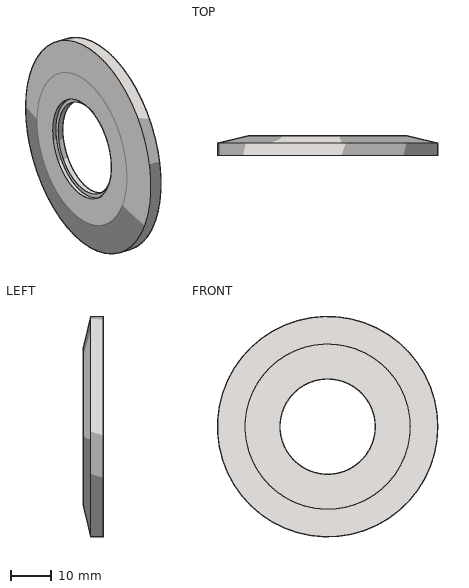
import cadquery as cq

outer_diameter = 55.0
bore_diameter = 23.7
recess_diameter = 41.2
back_face_diameter = 39.45
counterbore_diameter = 25.7

total_thickness = 5.0
rim_thickness = 3.15
recess_depth = 2.6
counterbore_depth = 1.0


def disc_body():
    """Cylindrical rim with a conical taper down to the flat back face."""
    outer_radius = outer_diameter / 2
    half_profile = (
        cq.Workplane("XY")
        .moveTo(0, 0)
        .lineTo(outer_radius, 0)
        .lineTo(outer_radius, rim_thickness)
        .lineTo(back_face_diameter / 2, total_thickness)
        .lineTo(0, total_thickness)
        .close()
    )
    return half_profile.revolve(360, (0, 0, 0), (0, 1, 0))


def round_cut(diameter, start, end):
    """Cylinder on the disc axis spanning Y = start to Y = end."""
    plane = cq.Workplane("XZ", origin=(0, start, 0))
    return plane.circle(diameter / 2).extrude(start - end)


front_recess = round_cut(recess_diameter, 0, recess_depth)
bore = round_cut(bore_diameter, 0, total_thickness)
back_counterbore = round_cut(
    counterbore_diameter, total_thickness - counterbore_depth, total_thickness
)

result = disc_body().cut(front_recess).cut(bore).cut(back_counterbore)